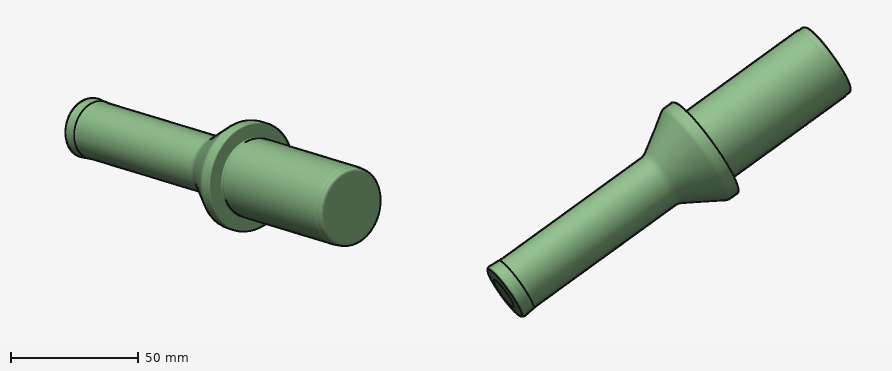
import cadquery as cq
import math


overall_length = 159.0
joint_x = 6.0
taper_end_x = 8.0
flange_rim_x = 95.0
flange_back_x = 99.0

head_radius = 12.0
head_widest_x = 1.7
face_edge_x = 0.46
face_edge_radius = 11.4
corner_mid_x = 0.88
corner_mid_radius = 11.83
rim_foot_x = 0.1
rim_outer_radius = 7.0
rim_crest_radius = 6.6
dish_inner_radius = 5.65
dish_depth = 0.1
floor_radius = 4.7
floor_depth = 0.25

neck_radius = 23.0 / 2
flange_radius = 44.0 / 2
neck_fillet = 5.5
flange_fillet = 3.5
cone_angle = math.radians(31.8)
flange_back_fillet = 0.6

shank_radius = 32.0 / 2
relief_radius = 31.5 / 2
root_fillet = 0.35
relief_length = 0.9
step_length = 0.8
step_start_x = 155.4
end_fillet = 1.25

taper_slope = (head_radius - neck_radius) / (taper_end_x - head_widest_x)
joint_radius = head_radius - taper_slope * (joint_x - head_widest_x)


def revolve_about_x(profile):
    return profile.close().revolve(360, (0, 0, 0), (1, 0, 0))


def make_cutting_head():
    """Short tapered head with a raised rim and shallow dish on its face."""
    profile = (
        cq.Workplane("XY")
        .moveTo(joint_x, 0)
        .lineTo(floor_depth, 0)
        .lineTo(floor_depth, floor_radius)
        .lineTo(dish_depth, dish_inner_radius)
        .lineTo(0, rim_crest_radius)
        .lineTo(rim_foot_x, rim_outer_radius)
        .lineTo(face_edge_x, face_edge_radius)
        .threePointArc((corner_mid_x, corner_mid_radius), (head_widest_x, head_radius))
        .lineTo(joint_x, joint_radius)
    )
    return revolve_about_x(profile)


def arc_point(center, radius, angle, side):
    """Point on a fillet; side is +1 above the center and -1 below it."""
    x = center[0] - side * radius * math.sin(angle)
    r = center[1] + side * radius * math.cos(angle)
    return (x, r)


def make_holder():
    """Neck, conical flange and cylindrical shank in one piece."""
    flange_center = (flange_rim_x, flange_radius - flange_fillet)
    cone_end = arc_point(flange_center, flange_fillet, cone_angle, 1)
    flange_mid = arc_point(flange_center, flange_fillet, cone_angle / 2, 1)

    cone_start_radius = neck_radius + neck_fillet * (1 - math.cos(cone_angle))
    cone_length = (cone_end[1] - cone_start_radius) / math.tan(cone_angle)
    cone_start_x = cone_end[0] - cone_length
    neck_end_x = cone_start_x - neck_fillet * math.sin(cone_angle)
    neck_center = (neck_end_x, neck_radius + neck_fillet)
    cone_start = arc_point(neck_center, neck_fillet, cone_angle, -1)
    neck_mid = arc_point(neck_center, neck_fillet, cone_angle / 2, -1)

    back_center = (flange_back_x - flange_back_fillet, flange_radius - flange_back_fillet)
    back_mid = arc_point(back_center, flange_back_fillet, -math.pi / 4, 1)
    end_center = (overall_length - end_fillet, relief_radius - end_fillet)
    end_mid = arc_point(end_center, end_fillet, -math.pi / 4, 1)

    step_mid_radius = (relief_radius + shank_radius) / 2
    step_up_x = flange_back_x + relief_length
    step_up_end_x = step_up_x + step_length
    step_down_end_x = step_start_x + step_length
    half_step = step_length / 2

    profile = (
        cq.Workplane("XY")
        .moveTo(joint_x, 0)
        .lineTo(joint_x, joint_radius)
        .lineTo(taper_end_x, neck_radius)
        .lineTo(neck_end_x, neck_radius)
        .threePointArc(neck_mid, cone_start)
        .lineTo(*cone_end)
        .threePointArc(flange_mid, (flange_rim_x, flange_radius))
        .lineTo(back_center[0], flange_radius)
        .threePointArc(back_mid, (flange_back_x, back_center[1]))
        .lineTo(flange_back_x, relief_radius + root_fillet)
        .tangentArcPoint((flange_back_x + root_fillet, relief_radius), relative=False)
        .lineTo(step_up_x, relief_radius)
        .tangentArcPoint((step_up_x + half_step, step_mid_radius), relative=False)
        .tangentArcPoint((step_up_end_x, shank_radius), relative=False)
        .lineTo(step_start_x, shank_radius)
        .tangentArcPoint((step_start_x + half_step, step_mid_radius), relative=False)
        .tangentArcPoint((step_down_end_x, relief_radius), relative=False)
        .lineTo(end_center[0], relief_radius)
        .threePointArc(end_mid, (overall_length, end_center[1]))
        .lineTo(overall_length, 0)
    )
    return revolve_about_x(profile)


cutting_head = make_cutting_head()
holder = make_holder()

result = cq.Compound.makeCompound([cutting_head.val(), holder.val()])